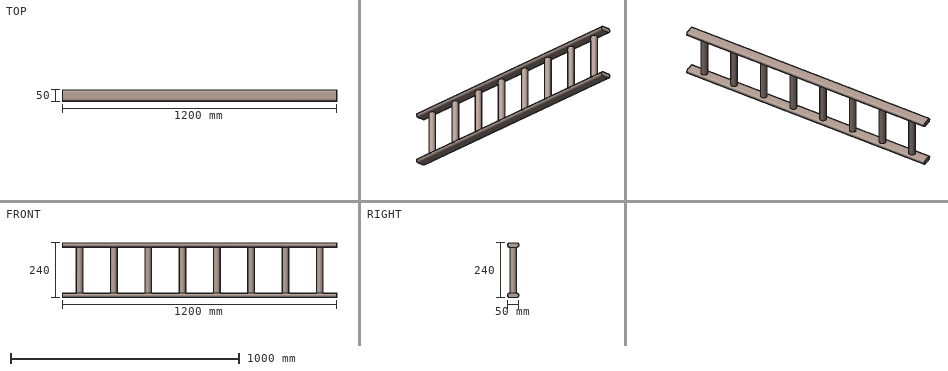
import cadquery as cq

ladder_length = 1200.0
ladder_height = 240.0

rail_width = 50.0
rail_thickness = 20.0

rung_diameter = 30.0
rung_count = 8
rung_pitch = ladder_length / rung_count

rail_center_z = (ladder_height - rail_thickness) / 2
rung_length = ladder_height - 2 * rail_thickness


def make_rail(center_z):
    """Rail along X with fully rounded side edges."""
    return (
        cq.Workplane("YZ", origin=(-ladder_length / 2, 0, center_z))
        .slot2D(rail_width, rail_thickness)
        .extrude(ladder_length)
    )


def make_rung(center_x):
    """Round rung standing between the inner faces of the two rails."""
    return (
        cq.Workplane("XY", origin=(center_x, 0, -rung_length / 2))
        .circle(rung_diameter / 2)
        .extrude(rung_length)
    )


ladder = make_rail(rail_center_z).union(make_rail(-rail_center_z))

for index in range(rung_count):
    rung_x = (index + 0.5) * rung_pitch - ladder_length / 2
    ladder = ladder.union(make_rung(rung_x))

result = ladder